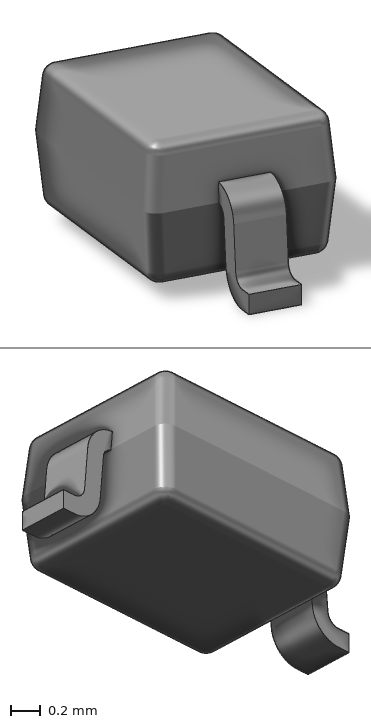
import cadquery as cq
import math

overall_length = 2.7

housing_length = 1.8
housing_width = 1.45
housing_bottom = 0.103
parting_height = 0.655
housing_top = 1.15
draft_angle = 5.0
edge_radius = 0.1

band_start = 0.497
band_width = 0.178
band_depth = 0.014

lead_width = 0.4
lead_thickness = 0.148
foot_length = 0.1
inner_bend_radius = 0.1
lead_tilt = 5.0


def housing_half(height):
    """One drafted half, growing from the parting plane by a signed height."""
    half = (
        cq.Workplane("XY")
        .rect(housing_length, housing_width)
        .extrude(height, taper=draft_angle)
    )
    end_face = ">Z" if height > 0 else "<Z"
    return (
        half.edges("not #Z")
        .fillet(edge_radius)
        .faces(end_face)
        .edges()
        .fillet(edge_radius)
        .translate((0, 0, parting_height))
    )


def make_housing():
    """Housing with the band's outline kept as edges on its flat top."""
    upper_half = housing_half(housing_top - parting_height)
    lower_half = housing_half(housing_bottom - parting_height)
    plain = upper_half.union(lower_half)

    top_inset = (housing_top - parting_height) * math.tan(math.radians(draft_angle))
    tangent_length = edge_radius * math.tan(math.radians((90 - draft_angle) / 2))
    flat_width = housing_width - 2 * (top_inset + tangent_length)
    band = cq.Workplane("XY").box(band_width, flat_width, band_depth, centered=(False, True, False))
    band = band.translate((band_start, 0, housing_top - band_depth))
    return plain.cut(band).union(band, clean=False)


def make_lead_bar():
    """Left lead, bent along its centreline up to the top of the second bend."""
    bend_radius = inner_bend_radius + lead_thickness / 2
    turn = math.radians(90 - lead_tilt)
    bend_run = bend_radius * math.sin(turn)
    bend_rise = bend_radius * (1 - math.cos(turn))
    half_turn_run = bend_radius * math.sin(turn / 2)
    half_turn_rise = bend_radius * (1 - math.cos(turn / 2))

    foot_z = lead_thickness / 2
    exit_z = parting_height + lead_thickness / 2
    tip_x = -overall_length / 2
    foot_end_x = tip_x + foot_length
    shank_rise = exit_z - foot_z - 2 * bend_rise
    shank_run = shank_rise * math.tan(math.radians(lead_tilt))
    exit_x = foot_end_x + 2 * bend_run + shank_run

    centreline = (
        cq.Workplane("XZ")
        .moveTo(tip_x, foot_z)
        .lineTo(foot_end_x, foot_z)
        .threePointArc(
            (foot_end_x + half_turn_run, foot_z + half_turn_rise),
            (foot_end_x + bend_run, foot_z + bend_rise),
        )
        .lineTo(exit_x - bend_run, exit_z - bend_rise)
        .threePointArc(
            (exit_x - half_turn_run, exit_z - half_turn_rise),
            (exit_x, exit_z),
        )
    )
    return (
        cq.Workplane("YZ", origin=(tip_x, 0, foot_z))
        .rect(lead_width, lead_thickness)
        .sweep(centreline)
    )


def make_leads(housing):
    """Two leads at opposite ends, each trimmed to end on the housing surface."""
    bar = make_lead_bar()
    leads = []
    for angle in (0, 180):
        lead = bar.rotate((0, 0, 0), (0, 0, 1), angle).cut(housing)
        leads.append(lead.val())
    return leads


housing = make_housing()
leads = make_leads(housing)

result = cq.Compound.makeCompound([housing.val(), *leads])